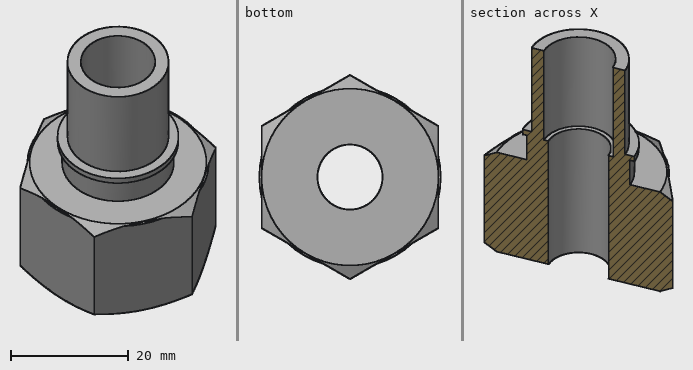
import cadquery as cq
import math

across_flats = 30.03
half_corner_angle = 30
across_corners = across_flats / math.cos(math.radians(half_corner_angle))
nut_height = 21.0
chamfer_angle = 30
rim_diameter = 30.85
envelope_margin = 0.45

neck_diameter = 19.0
collar_diameter = 20.55
tube_diameter = 17.2
collar_bottom = 26.0
collar_top = 27.1
total_height = 44.75

through_diameter = 11.0
tube_bore_diameter = 12.6


def chamfer_drop(diameter):
    """Axial drop of the chamfer cone from the nut face at a given diameter."""
    return (diameter - across_flats) / 2 * math.tan(math.radians(chamfer_angle))


def cylinder(diameter, bottom, top):
    return cq.Workplane("XY").workplane(offset=bottom).circle(diameter / 2).extrude(top - bottom)


def revolve_profile(points):
    return cq.Workplane("XZ").polyline(points).close().revolve(360, (0, 0, 0), (0, 1, 0))


def chamfered_hexagon():
    """Hexagon with corners on Y, cut by a chamfer cone at both ends."""
    hexagon = (
        cq.Workplane("XY")
        .polygon(6, across_corners)
        .extrude(nut_height)
        .rotate((0, 0, 0), (0, 0, 1), half_corner_angle)
    )
    face_radius = across_flats / 2
    envelope_radius = across_corners / 2 + envelope_margin
    envelope_drop = chamfer_drop(2 * envelope_radius)
    envelope = revolve_profile([
        (0, 0),
        (face_radius, 0),
        (envelope_radius, envelope_drop),
        (envelope_radius, nut_height - envelope_drop),
        (face_radius, nut_height),
        (0, nut_height),
    ])
    return hexagon.intersect(envelope)


def top_rim():
    """Thin conical disc that stands slightly proud of the upper ends of the flats."""
    rim_bottom = nut_height - chamfer_drop(rim_diameter)
    return revolve_profile([
        (0, rim_bottom),
        (rim_diameter / 2, rim_bottom),
        (across_flats / 2, nut_height),
        (0, nut_height),
    ])


nut = chamfered_hexagon().union(top_rim())

neck = cylinder(neck_diameter, nut_height, collar_bottom)
collar = cylinder(collar_diameter, collar_bottom, collar_top)
tube = cylinder(tube_diameter, collar_top, total_height)
body = nut.union(neck).union(collar).union(tube)

through_bore = cylinder(through_diameter, 0, total_height)
tube_bore = cylinder(tube_bore_diameter, collar_bottom, total_height)
result = body.cut(through_bore).cut(tube_bore)